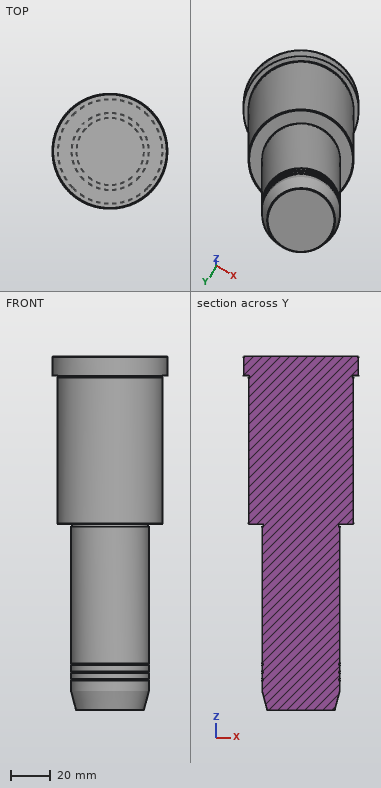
import cadquery as cq
import math

total_length = 181.0
head_height = 10.0
body_bottom = 95.0
taper_height = 10.0

head_radius = 29.5
body_radius = 27.0
shank_radius = 20.0
taper_angle = 15.0

head_chamfer = 0.5
body_chamfer = 0.5
tip_chamfer = 0.4
relief_height = 1.0
relief_depth = 0.5

groove_depth = 0.5
lowest_groove_center = 15.5
groove_pitch = 4.0
groove_count = 3


def cylinder(radius, bottom, top):
    return cq.Workplane("XY").workplane(offset=bottom).circle(radius).extrude(top - bottom)


def square_relief(outer_radius, top):
    """Ring that cuts a square relief, ending at the given height, into a cylinder."""
    bottom = top - relief_height
    ring = cylinder(outer_radius + relief_depth, bottom, top)
    return ring.cut(cylinder(outer_radius - relief_depth, bottom, top))


def v_groove(outer_radius, center_height):
    """Revolved diamond whose inner half cuts a V groove into a cylinder."""
    return (
        cq.Workplane("XZ")
        .moveTo(outer_radius - groove_depth, center_height)
        .lineTo(outer_radius, center_height + groove_depth)
        .lineTo(outer_radius + groove_depth, center_height)
        .lineTo(outer_radius, center_height - groove_depth)
        .close()
        .revolve(360, (0, 0, 0), (0, 1, 0))
    )


head_bottom = total_length - head_height
tip_radius = shank_radius - taper_height * math.tan(math.radians(taper_angle))

head = cylinder(head_radius, head_bottom, total_length).faces(">Z").edges().chamfer(head_chamfer)
body = cylinder(body_radius, body_bottom, head_bottom).faces("<Z").edges().chamfer(body_chamfer)
shank = cylinder(shank_radius, taper_height, body_bottom)
tip = (
    cq.Workplane("XY")
    .circle(tip_radius)
    .workplane(offset=taper_height)
    .circle(shank_radius)
    .loft()
    .faces("<Z")
    .edges()
    .chamfer(tip_chamfer)
)
result = head.union(body).union(shank).union(tip)

result = result.cut(v_groove(body_radius, head_bottom - groove_depth))
result = result.cut(square_relief(shank_radius, body_bottom))

for index in range(groove_count):
    groove_center = lowest_groove_center + index * groove_pitch
    result = result.cut(v_groove(shank_radius, groove_center))